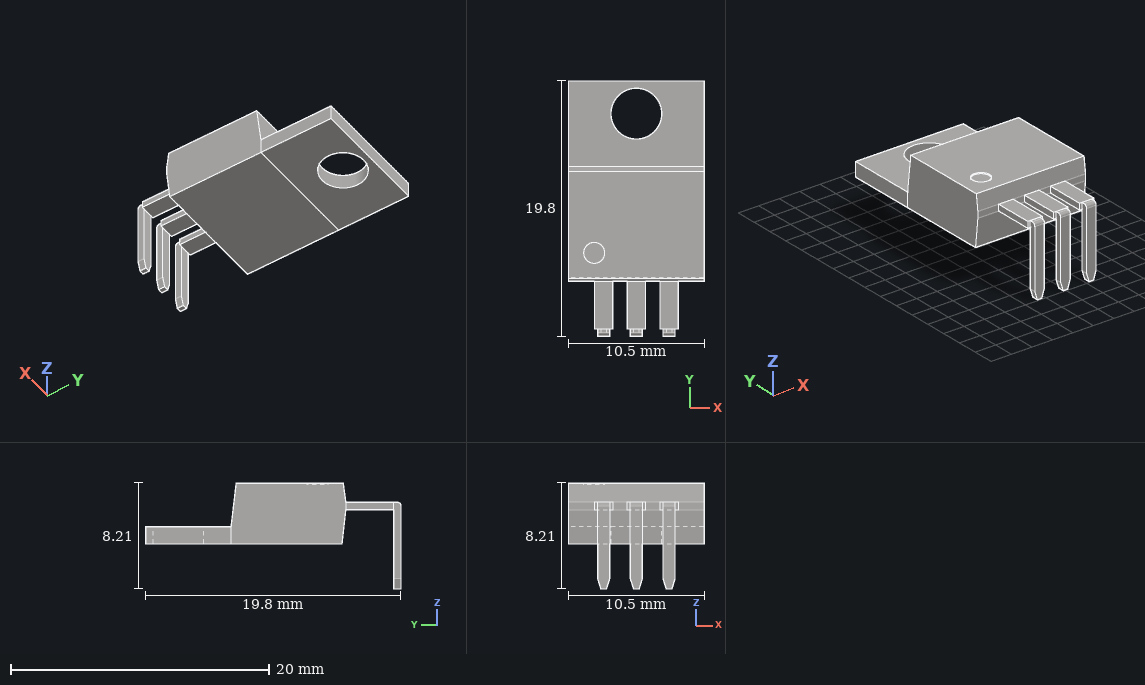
import cadquery as cq


WIDTH = 10.54
HOUSING_LENGTH = 8.9
HOUSING_HEIGHT = 4.73
FRONT_TOP_INSET = 0.2
FRONT_BOTTOM_INSET = 0.3
REAR_TOP_INSET = 0.4
HOUSING_FRONT = -HOUSING_LENGTH

MARKER_DIAMETER = 1.62
MARKER_DEPTH = 0.1
MARKER_X = -3.26
MARKER_FROM_FRONT = 2.2

TAB_LENGTH = 6.6
TAB_THICKNESS = 1.36
HOLE_DIAMETER = 3.91
HOLE_FROM_END = 2.53

LEAD_COUNT = 3
LEAD_PITCH = 2.53
LEAD_REACH = 4.27
BAR_WIDTH = 1.42
BAR_THICKNESS = 0.6
BAR_TOP = 3.26
BAR_BOTTOM = BAR_TOP - BAR_THICKNESS
PIN_WIDTH = 0.95
PIN_THICKNESS = 0.57
PIN_DROP = 3.48
PIN_BEND_RADIUS = 0.3
TIP_LENGTH = 0.81
TIP_WIDTH = 0.43
PIN_FRONT = HOUSING_FRONT - LEAD_REACH
PIN_BACK = PIN_FRONT + PIN_THICKNESS


def make_housing():
    """Molded block with sloping ends, a flat band at the leads and a marker dimple."""
    profile = [
        (0, 0),
        (0, TAB_THICKNESS),
        (-REAR_TOP_INSET, HOUSING_HEIGHT),
        (HOUSING_FRONT + FRONT_TOP_INSET, HOUSING_HEIGHT),
        (HOUSING_FRONT, BAR_TOP),
        (HOUSING_FRONT, BAR_BOTTOM),
        (HOUSING_FRONT + FRONT_BOTTOM_INSET, 0),
    ]
    block = cq.Workplane("YZ").polyline(profile).close().extrude(WIDTH / 2, both=True)
    marker = (
        cq.Workplane("XY", origin=(MARKER_X, HOUSING_FRONT + MARKER_FROM_FRONT, HOUSING_HEIGHT))
        .circle(MARKER_DIAMETER / 2)
        .extrude(-MARKER_DEPTH)
    )
    return block.cut(marker)


def make_tab():
    """Flat mounting plate behind the housing, with its screw hole."""
    plate = cq.Workplane("XY").box(WIDTH, TAB_LENGTH, TAB_THICKNESS, centered=(True, False, False))
    hole = (
        cq.Workplane("XY")
        .center(0, TAB_LENGTH - HOLE_FROM_END)
        .circle(HOLE_DIAMETER / 2)
        .extrude(TAB_THICKNESS)
    )
    return plate.cut(hole)


def make_bar(x):
    """Wide horizontal part of a lead, from the housing face to the pin."""
    return cq.Workplane("XY", origin=(x, PIN_BACK, BAR_BOTTOM)).box(
        BAR_WIDTH, HOUSING_FRONT - PIN_BACK, BAR_THICKNESS, centered=(True, False, False)
    )


def make_pin(x):
    """Narrow vertical part of a lead, rounded at the bend and tapered at the tip."""
    shoulder = -PIN_DROP + TIP_LENGTH
    outline = [
        (-PIN_WIDTH / 2, BAR_TOP),
        (PIN_WIDTH / 2, BAR_TOP),
        (PIN_WIDTH / 2, shoulder),
        (TIP_WIDTH / 2, -PIN_DROP),
        (-TIP_WIDTH / 2, -PIN_DROP),
        (-PIN_WIDTH / 2, shoulder),
    ]
    pin = cq.Workplane("XZ", origin=(x, PIN_BACK, 0)).polyline(outline).close().extrude(PIN_THICKNESS)
    return pin.faces("<Y").edges(">Z").fillet(PIN_BEND_RADIUS)


housing = make_housing()
tab = make_tab()
lead_positions = [(i - (LEAD_COUNT - 1) / 2) * LEAD_PITCH for i in range(LEAD_COUNT)]
bars = [make_bar(x).val() for x in lead_positions]
pins = [make_pin(x).val() for x in lead_positions]

result = cq.Compound.makeCompound([housing.val(), tab.val(), *bars, *pins])